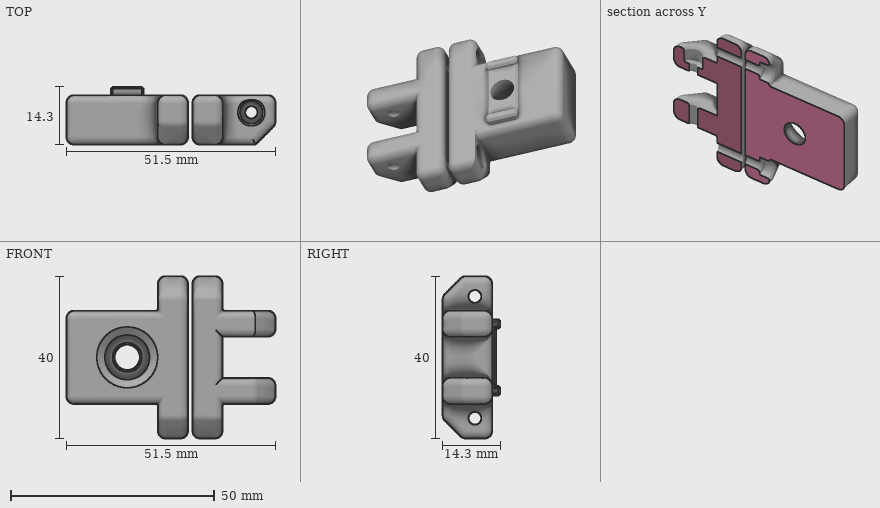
import cadquery as cq

TOTAL_LENGTH = 51.5
BODY_DEPTH = 12.25
FLANGE_HEIGHT = 40.0
FLANGE_THICKNESS = 7.45
BEVEL = 5.0
EDGE_RADIUS = 2.0
CREASE_RADIUS = 0.4

HOUSING_LENGTH = 29.95
BLOCK_HEIGHT = 23.0
BLOCK_LENGTH = HOUSING_LENGTH - FLANGE_THICKNESS

BODY_GAP = 1.05
ARM_HEIGHT = 6.5
CLEVIS_START = HOUSING_LENGTH + BODY_GAP
CLEVIS_FLANGE_END = CLEVIS_START + FLANGE_THICKNESS
ARM_OUTER_Z = BLOCK_HEIGHT / 2
ARM_INNER_Z = ARM_OUTER_Z - ARM_HEIGHT

SCREW_Y = 8.0
FLANGE_HOLE_Z = 15.0
ARM_HOLE_X = TOTAL_LENGTH - 5.95
HEAD_DIAMETER = 5.6
HOUSING_HOLE_DIAMETER = 3.15
CLEVIS_HOLE_DIAMETER = 3.1
ARM_HOLE_DIAMETER = 3.0
FLANGE_HEAD_DEPTH = 3.0
ARM_HEAD_DEPTH = 4.0
HOLE_CHAMFER = 0.5

MAIN_X = 15.0
SINK_DIAMETER = 15.0
SINK_DEPTH = 2.0
MAIN_HEAD_DIAMETER = 11.0
MAIN_HEAD_DEPTH = 6.5
MAIN_HOLE_DIAMETER = 6.2

PAD_WIDTH = 8.1
PAD_HEIGHT = 18.8
PAD_WEB_RISE = 1.0
PAD_RIDGE_HEIGHT = 2.35
PAD_RIDGE_RISE = 2.0
PAD_CHAMFER = 0.5

POSITION_TOLERANCE = 0.05

RIGHT = cq.Vector(1, 0, 0)
BACKWARD = cq.Vector(0, 1, 0)
DOWN = cq.Vector(0, 0, -1)



def box(x_range, y_range, z_range):
    """Box between the given pairs of coordinates."""
    ranges = (x_range, y_range, z_range)
    size = [high - low for low, high in ranges]
    corner = tuple(low for low, high in ranges)
    return cq.Workplane("XY").box(*size, centered=False).translate(corner)


def cylinder(start, direction, diameter, length):
    """Cylinder from a start point along a direction."""
    return cq.Workplane(cq.Solid.makeCylinder(diameter / 2, length, start, direction))


def cone(start, direction, start_diameter, end_diameter, length):
    """Truncated cone from a start point along a direction."""
    return cq.Workplane(cq.Solid.makeCone(start_diameter / 2, end_diameter / 2, length, start, direction))


def chamfered_bore(start, direction, diameter, length):
    """Bore with a 45 degree chamfer at its start."""
    mouth = cone(start, direction, diameter + 2 * HOLE_CHAMFER, diameter, HOLE_CHAMFER)
    return cylinder(start, direction, diameter, length).union(mouth)


def round_edges(blank, selector=None, sharp_middle=None):
    """Round the selected edges, except the one whose middle is at `sharp_middle`."""
    edges = blank.edges(selector).vals()
    if sharp_middle is not None:
        edges = [edge for edge in edges if (edge.Center() - sharp_middle).Length > POSITION_TOLERANCE]
    return blank.newObject(edges).fillet(EDGE_RADIUS)


def round_creases(body, x):
    """Round the two straight inner corners where the flange face at `x` meets the outside of the body."""
    crease_middles = [cq.Vector(x, BODY_DEPTH / 2, z) for z in (-BLOCK_HEIGHT / 2, BLOCK_HEIGHT / 2)]
    creases = [
        edge
        for edge in body.edges("|Y").vals()
        if any((edge.Center() - middle).Length < POSITION_TOLERANCE for middle in crease_middles)
    ]
    return body.newObject(creases).fillet(CREASE_RADIUS)


def flange_blank(x_start):
    """Sharp-edged flange: a bar with its two front corners bevelled."""
    top = FLANGE_HEIGHT / 2
    outline = [
        (BODY_DEPTH, -top),
        (BODY_DEPTH, top),
        (BEVEL, top),
        (0, top - BEVEL),
        (0, BEVEL - top),
        (BEVEL, -top),
    ]
    bar = cq.Workplane("YZ").polyline(outline).close().extrude(FLANGE_THICKNESS)
    return bar.translate((x_start, 0, 0))



def housing_flange():
    """Rounded flange whose back edge on the block side stays sharp below mid-height."""
    blank = flange_blank(BLOCK_LENGTH)
    lower_half = box((BLOCK_LENGTH, HOUSING_LENGTH), (0, BODY_DEPTH), (-FLANGE_HEIGHT / 2, 0))
    sharp_middle = cq.Vector(BLOCK_LENGTH, BODY_DEPTH, 0)
    upper = round_edges(blank).cut(lower_half)
    lower = round_edges(blank, sharp_middle=sharp_middle).intersect(lower_half)
    return upper.union(lower)


def block():
    """Rounded block, reaching to the middle of the flange so that their edge rounds meet in a mitre."""
    x_range = (0, BLOCK_LENGTH + FLANGE_THICKNESS / 2)
    blank = box(x_range, (0, BODY_DEPTH), (-BLOCK_HEIGHT / 2, BLOCK_HEIGHT / 2))
    return round_edges(blank, "not >X")


def pad_piece(rise, z_low, height):
    """Chamfered bar standing on the back face."""
    x_range = (MAIN_X - PAD_WIDTH / 2, MAIN_X + PAD_WIDTH / 2)
    bar = box(x_range, (BODY_DEPTH, BODY_DEPTH + rise), (z_low, z_low + height))
    return bar.edges("|Y or >Y").chamfer(PAD_CHAMFER)


def pad():
    """Low web with a raised ridge at its top and bottom."""
    bottom = -PAD_HEIGHT / 2
    shape = pad_piece(PAD_WEB_RISE, bottom, PAD_HEIGHT)
    for z_low in (bottom, -bottom - PAD_RIDGE_HEIGHT):
        shape = shape.union(pad_piece(PAD_RIDGE_RISE, z_low, PAD_RIDGE_HEIGHT))
    return shape


def main_hole():
    """Countersunk and counterbored hole, with a chamfer where the bore leaves the counterbore floor."""
    mouth = cq.Vector(MAIN_X, 0, 0)
    floor = mouth + BACKWARD * MAIN_HEAD_DEPTH
    bore_length = BODY_DEPTH + PAD_RIDGE_RISE - MAIN_HEAD_DEPTH
    sink = cone(mouth, BACKWARD, SINK_DIAMETER, MAIN_HEAD_DIAMETER, SINK_DEPTH)
    head = cylinder(mouth, BACKWARD, MAIN_HEAD_DIAMETER, MAIN_HEAD_DEPTH)
    bore = chamfered_bore(floor, BACKWARD, MAIN_HOLE_DIAMETER, bore_length)
    return sink.union(head).union(bore)


def flange_screw_hole(z):
    """Counterbored screw hole through the housing flange, with both steps chamfered."""
    mouth = cq.Vector(BLOCK_LENGTH, SCREW_Y, z)
    floor = mouth + RIGHT * FLANGE_HEAD_DEPTH
    bore_length = FLANGE_THICKNESS - FLANGE_HEAD_DEPTH
    head = chamfered_bore(mouth, RIGHT, HEAD_DIAMETER, FLANGE_HEAD_DEPTH)
    return head.union(chamfered_bore(floor, RIGHT, HOUSING_HOLE_DIAMETER, bore_length))


def make_housing():
    body = housing_flange().union(block())
    body = round_creases(body, BLOCK_LENGTH)
    body = body.union(pad()).cut(main_hole())
    for z in (-FLANGE_HOLE_Z, FLANGE_HOLE_Z):
        body = body.cut(flange_screw_hole(z))
    return body



def arm_blank(z_low):
    """Sharp-edged arm with a bevelled front tip, starting in the middle of the flange."""
    x_root = CLEVIS_START + FLANGE_THICKNESS / 2
    outline = [
        (x_root, 0),
        (TOTAL_LENGTH - BEVEL, 0),
        (TOTAL_LENGTH, BEVEL),
        (TOTAL_LENGTH, BODY_DEPTH),
        (x_root, BODY_DEPTH),
    ]
    return cq.Workplane("XY").workplane(offset=z_low).polyline(outline).close().extrude(ARM_HEIGHT)


def upper_arm():
    """Rounded arm that keeps the edge between its front face and bevel sharp."""
    sharp_middle = cq.Vector(TOTAL_LENGTH - BEVEL, 0, ARM_INNER_Z + ARM_HEIGHT / 2)
    return round_edges(arm_blank(ARM_INNER_Z), "not <X", sharp_middle)


def lower_arm():
    """Arm with all its free edges rounded."""
    return round_edges(arm_blank(-ARM_OUTER_Z), "not <X")


def upper_arm_hole():
    """Counterbored screw hole down through the upper arm."""
    mouth = cq.Vector(ARM_HOLE_X, SCREW_Y, ARM_OUTER_Z)
    head = chamfered_bore(mouth, DOWN, HEAD_DIAMETER, ARM_HEAD_DEPTH)
    return head.union(cylinder(mouth, DOWN, ARM_HOLE_DIAMETER, ARM_HEIGHT))


def lower_arm_hole():
    """Screw hole down through the lower arm, chamfered on its inner face."""
    mouth = cq.Vector(ARM_HOLE_X, SCREW_Y, -ARM_INNER_Z)
    return chamfered_bore(mouth, DOWN, ARM_HOLE_DIAMETER, ARM_HEIGHT)


def make_clevis():
    body = round_edges(flange_blank(CLEVIS_START)).union(upper_arm()).union(lower_arm())
    body = round_creases(body, CLEVIS_FLANGE_END)
    body = body.cut(upper_arm_hole()).cut(lower_arm_hole())
    for z in (-FLANGE_HOLE_Z, FLANGE_HOLE_Z):
        start = cq.Vector(CLEVIS_START, SCREW_Y, z)
        body = body.cut(cylinder(start, RIGHT, CLEVIS_HOLE_DIAMETER, FLANGE_THICKNESS))
    return body


housing = make_housing()
clevis = make_clevis()
result = cq.Compound.makeCompound([housing.solids().val(), clevis.solids().val()])